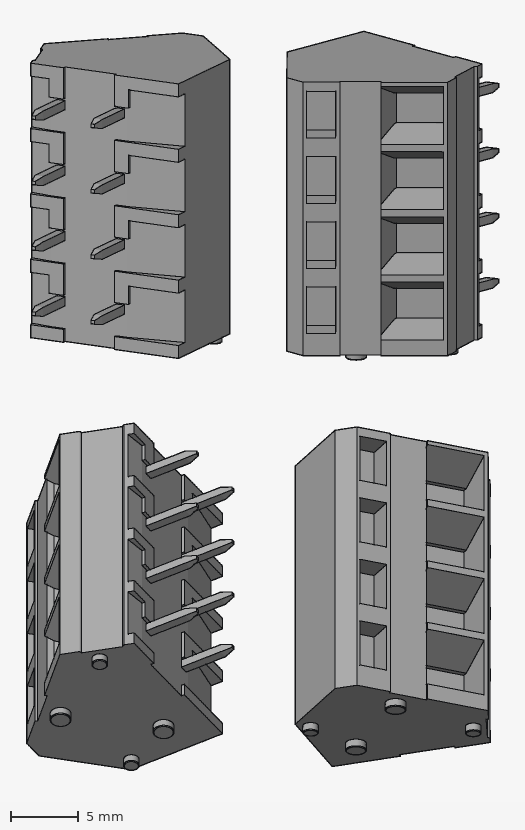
import cadquery as cq
import math

poles = 4
total_height = 21.6
height = 21.0
rib_thickness = 1.0
pitch = (height - rib_thickness) / poles

width = 14.2
depth = 12.9
tip_y = 5.35
foot_x = 1.77
right_wall_y = 7.97
groove_depth = 0.2

label_low_y = 8.83
label_high_y = 10.97

clip_high_y = 3.89
clip_low_y = 0.73
clip_low_run = 0.22
clip_round = 0.2

clearance = 0.22
channel_left = 4.54
channel_right = 8.81
channel_depth = 0.25
left_recess_x = 3.3
left_recess_depth = 0.45
right_recess_x = 9.76
right_recess_depth = 1.0
left_leg_x = left_recess_x
right_leg_x = 9.98
leg_bottom = 2.4

pin_size = 0.7
pin_length = 4.0
pin_taper = 0.85
pin_tip = 0.28
pin_root = 0.86
pin_drop = 2.92

funnel_top = 0.32
funnel_bottom = 4.77
funnel_low_y = 5.57
funnel_throat = 0.73
funnel_taper_depth = 3.13
funnel_depth = 3.56
funnel_top_inset = 1.38
funnel_bottom_inset = 0.7
funnel_back_angle = 22.0

button_top = 0.71
button_height = 3.59
button_low_y = 11.19
button_high_y = 12.72

peg_length = total_height - height
peg_chamfer = 0.06
small_peg = 1.17
large_peg = 1.55
pegs = [(1.97, 3.1, small_peg), (13.22, 7.32, small_peg), (5.95, 8.96, large_peg), (11.15, 3.25, large_peg)]

diagonal = math.sqrt(0.5)
pole_tops = [height - i * pitch for i in range(poles)]


def prism(points, bottom, top):
    """Extrude an XY outline between two Z levels."""
    return cq.Workplane("XY").workplane(offset=bottom).polyline(points).close().extrude(top - bottom)


def on_wire_side(y, inset=0.0):
    """Point of the 45 degree wire side with the given Y, moved inwards square to it."""
    return (y - tip_y + inset * diagonal, y - inset * diagonal)


def on_clip_side(y, inset=0.0):
    """Point of the inclined lower left face at height Y, moved inwards along X."""
    return (foot_x * (1 - y / tip_y) + inset, y)


def make_housing():
    """Solid housing with the label groove, the clip groove and the centre channel."""
    outline = [
        (foot_x, 0),
        (channel_left, 0),
        (channel_left, channel_depth),
        (channel_right, channel_depth),
        (channel_right, 0),
        (width, 0),
        (width, right_wall_y),
        (width - (depth - right_wall_y), depth),
        on_wire_side(depth),
        on_wire_side(label_high_y),
        on_wire_side(label_high_y, groove_depth),
        on_wire_side(label_low_y, groove_depth),
        on_wire_side(label_low_y),
        (0, tip_y),
        on_clip_side(clip_high_y),
        on_clip_side(clip_high_y, groove_depth),
        on_clip_side(clip_low_y + clip_low_run, groove_depth),
        on_clip_side(clip_low_y),
    ]
    housing = prism(outline, 0, height)
    clip_edge = cq.selectors.NearestToPointSelector((*on_clip_side(clip_high_y), height / 2))
    return housing.edges("|Z").edges(clip_edge).fillet(clip_round)


def board_recess(top):
    """Pocket between two ribs: flat by the pins, sloping deeper to both sides, around two legs."""
    profile = [
        (0, -clearance),
        (0, left_recess_depth),
        on_clip_side(left_recess_depth),
        (left_recess_x, channel_depth),
        (right_recess_x, channel_depth),
        (width, right_recess_depth),
        (width, -clearance),
    ]
    recess = prism(profile, top - pitch, top - rib_thickness)
    for left, right in [(left_leg_x, channel_left), (channel_right, right_leg_x)]:
        leg = prism([(left, 0), (right, 0), (right, depth), (left, depth)], top - leg_bottom, top)
        recess = recess.cut(leg)
    return recess


def wire_funnel(top):
    """Tapered wire entry sunk square into the 45 degree wire side."""
    mouth_y = label_low_y
    back_shift = (funnel_depth - funnel_throat) * math.tan(math.radians(funnel_back_angle))
    back_y = mouth_y - back_shift * diagonal
    profile = [
        on_wire_side(funnel_low_y),
        on_wire_side(mouth_y),
        on_wire_side(mouth_y, funnel_throat),
        on_wire_side(back_y, funnel_depth),
        on_wire_side(funnel_low_y, funnel_depth),
    ]
    pocket = prism(profile, top - funnel_bottom, top - funnel_top)
    side_plane = cq.Plane(
        origin=(0, tip_y, top), xDir=(diagonal, -diagonal, 0), normal=(-diagonal, -diagonal, 0)
    )
    sides = [
        (0, -funnel_top),
        (funnel_taper_depth, -funnel_top - funnel_top_inset),
        (funnel_depth, -funnel_top - funnel_top_inset),
        (funnel_depth, -funnel_bottom + funnel_bottom_inset),
        (funnel_taper_depth, -funnel_bottom + funnel_bottom_inset),
        (0, -funnel_bottom),
    ]
    taper = cq.Workplane(side_plane).polyline(sides).close().extrude(depth, both=True)
    return pocket.intersect(taper)


def button_slot(top):
    """Rectangular slot sunk square into the 45 degree wire side, as deep as it is wide."""
    slot_depth = (button_high_y - button_low_y) / diagonal
    profile = [
        on_wire_side(button_low_y),
        on_wire_side(button_high_y),
        on_wire_side(button_high_y, slot_depth),
        on_wire_side(button_low_y, slot_depth),
    ]
    return prism(profile, top - button_top - button_height, top - button_top)


def make_pin(left, top):
    """Square pin pointing to -Y with a tapered end."""
    base = cq.Workplane("XZ", origin=(left + pin_size / 2, pin_root, top - pin_drop))
    straight = pin_root + pin_length - pin_taper
    shank = base.rect(pin_size, pin_size).extrude(straight)
    end = (
        base.workplane(offset=straight)
        .rect(pin_size, pin_size)
        .workplane(offset=pin_taper)
        .rect(pin_tip, pin_tip)
        .loft()
    )
    return shank.union(end)


def make_peg(x, y, diameter):
    """Round peg hanging below the base."""
    peg = cq.Workplane("XY").center(x, y).circle(diameter / 2).extrude(-peg_length)
    return peg.faces("<Z").chamfer(peg_chamfer)


result = make_housing()
for top in pole_tops:
    result = result.cut(board_recess(top)).cut(wire_funnel(top)).cut(button_slot(top))
for top in pole_tops:
    for left in (channel_left - pin_size, channel_right):
        result = result.union(make_pin(left, top))
for x, y, diameter in pegs:
    result = result.union(make_peg(x, y, diameter))